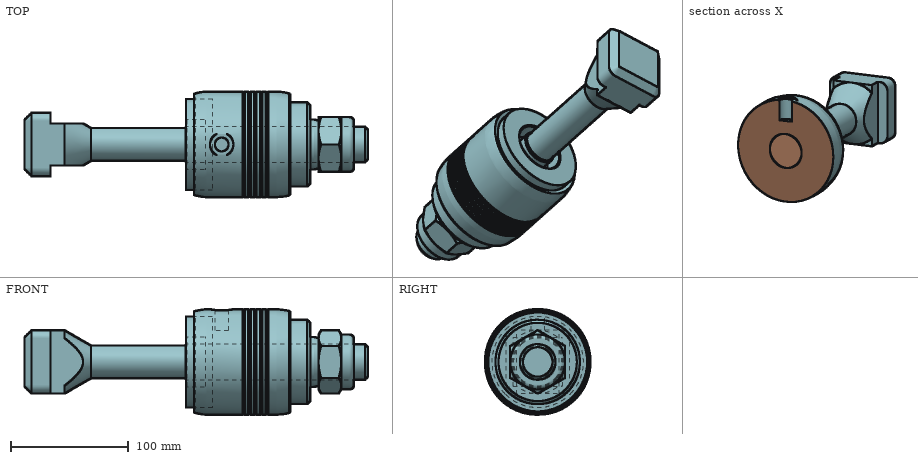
import cadquery as cq
import math

total_length = 292.0

head_size = 54.0
head_length = 22.2
head_edge_radius = 7.0
head_chamfer = 6.0
neck_width = 36.0
neck_end = 34.2
neck_taper_angle = 30.0
shank_radius = 14.0
thread_radius = 15.2
thread_start = 136.7
thread_end_chamfer = 2.5

piston_front = 137.2
piston_radius = 38.8
piston_length = 22.8
recess_radius = 21.3
recess_depth = 16.5
recess_chamfer = 1.0

housing_front = 144.0
housing_radius = 45.0
housing_back = 226.3
edge_radius = 43.5
front_edge_drop = 0.5
back_edge_drop = 1.5
edge_break_length = 1.5
front_crown_length = 9.5
back_crown_length = 10.5
bore_lead_in = 1.5
boss_radius = 36.0
boss_back = 243.0
boss_chamfer = 2.5

groove_count = 5
groove_pitch = 5.0
groove_half_width = 1.2
groove_depth = 1.0
first_groove = 186.3

port_position = 167.5
port_seat_radius = 10.0
port_seat_height = 44.0
port_radius = 5.8
port_depth = 17.5

washer_radius = 21.3
washer_back = 250.0
washer_chamfer_length = 3.5
washer_chamfer_drop = 1.0

nut_across_flats = 46.7
hex_sides = 6
hex_back = 269.2
nut_back = 280.0
nut_chamfer_angle = 30.0
collar_edge_radius = 3.8


def rod(start, end, radius):
    """Solid cylinder on the X axis."""
    return cq.Workplane("YZ", origin=(start, 0, 0)).circle(radius).extrude(end - start)


def block(start, end, width, height):
    """Rectangular block centred on the X axis."""
    return cq.Workplane("YZ", origin=(start, 0, 0)).rect(width, height).extrude(end - start)


def turned(outline):
    """Revolve a closed outline of (x, radius) lines and arcs about the X axis."""
    return outline.close().revolve(360, (0, 0, 0), (1, 0, 0))


def thread_clearance():
    """Through hole that fits the threaded part of the bolt."""
    return rod(0, total_length, thread_radius)


def crown_radius(length, drop):
    """Radius of an arc that leaves the cylinder tangentially and drops over a length."""
    return (length ** 2 + drop ** 2) / (2 * drop)


def make_bolt():
    head = (
        block(0, head_length, head_size, head_size)
        .edges("|X").fillet(head_edge_radius)
        .faces("<X").chamfer(head_chamfer)
    )
    taper_start_radius = head_size / 2
    taper_length = (taper_start_radius - shank_radius) / math.tan(math.radians(neck_taper_angle))
    neck = block(head_chamfer, neck_end, neck_width, head_size)
    taper = turned(
        cq.Workplane("XY")
        .moveTo(neck_end, 0)
        .lineTo(neck_end, taper_start_radius)
        .lineTo(neck_end + taper_length, shank_radius)
        .lineTo(neck_end + taper_length, 0)
    ).intersect(block(neck_end, neck_end + taper_length, neck_width, head_size))
    shank = rod(neck_end, thread_start, shank_radius)
    thread = (
        rod(thread_start, total_length, thread_radius)
        .faces("<X").chamfer(thread_radius - shank_radius)
        .faces(">X").chamfer(thread_end_chamfer)
    )
    return head.union(neck).union(taper).union(shank).union(thread)


def make_piston():
    piston_back = piston_front + piston_length
    recess_floor = piston_front + recess_depth
    return turned(
        cq.Workplane("XY")
        .moveTo(piston_front, piston_radius)
        .lineTo(piston_back, piston_radius)
        .lineTo(piston_back, thread_radius)
        .lineTo(recess_floor, thread_radius)
        .lineTo(recess_floor, recess_radius)
        .lineTo(piston_front + recess_chamfer, recess_radius)
        .lineTo(piston_front, recess_radius + recess_chamfer)
    )


def make_housing():
    crown_drop = housing_radius - edge_radius
    front_edge = housing_front + edge_break_length
    back_edge = housing_back - edge_break_length
    lip_radius = edge_radius - front_edge_drop
    bore_end = piston_front + piston_length
    housing = turned(
        cq.Workplane("XY")
        .moveTo(bore_end, 0)
        .lineTo(bore_end, piston_radius)
        .lineTo(housing_front + bore_lead_in, piston_radius)
        .lineTo(housing_front, lip_radius)
        .lineTo(front_edge, edge_radius)
        .radiusArc((front_edge + front_crown_length, housing_radius),
                   crown_radius(front_crown_length, crown_drop))
        .lineTo(back_edge - back_crown_length, housing_radius)
        .radiusArc((back_edge, edge_radius), crown_radius(back_crown_length, crown_drop))
        .lineTo(housing_back, edge_radius - back_edge_drop)
        .lineTo(housing_back, boss_radius)
        .lineTo(boss_back - boss_chamfer, boss_radius)
        .lineTo(boss_back, boss_radius - boss_chamfer)
        .lineTo(boss_back, 0)
    ).cut(thread_clearance())
    for index in range(groove_count):
        housing = housing.cut(make_groove(first_groove + index * groove_pitch))
    return housing.cut(make_port())


def make_groove(position):
    """Ring that cuts a V-shaped groove into the housing."""
    return turned(
        cq.Workplane("XY")
        .moveTo(position - groove_half_width, housing_radius)
        .lineTo(position, housing_radius - groove_depth)
        .lineTo(position + groove_half_width, housing_radius)
    )


def make_port():
    """Flat round seat with a blind hole below it."""
    seat_plane = cq.Workplane("XY", origin=(port_position, 0, port_seat_height))
    seat = seat_plane.circle(port_seat_radius).extrude(housing_radius - port_seat_height)
    hole = seat_plane.circle(port_radius).extrude(-port_depth)
    return seat.union(hole)


def make_washer():
    washer = rod(boss_back, washer_back, washer_radius)
    washer = washer.faces(">X").edges().chamfer(washer_chamfer_length, washer_chamfer_drop)
    return washer.cut(thread_clearance())


def make_nut():
    flat_radius = nut_across_flats / 2
    corner_radius = flat_radius / math.cos(math.pi / hex_sides)
    chamfer_length = (corner_radius - flat_radius) * math.tan(math.radians(nut_chamfer_angle))
    hexagon = (
        cq.Workplane("YZ", origin=(washer_back, 0, 0))
        .transformed(rotate=(0, 0, 90))
        .polygon(hex_sides, 2 * corner_radius)
        .extrude(hex_back - washer_back)
    )
    corner_break = turned(
        cq.Workplane("XY")
        .moveTo(washer_back, 0)
        .lineTo(washer_back, flat_radius)
        .lineTo(washer_back + chamfer_length, corner_radius)
        .lineTo(hex_back - chamfer_length, corner_radius)
        .lineTo(hex_back, flat_radius)
        .lineTo(hex_back, 0)
    )
    collar = rod(hex_back, nut_back, flat_radius).faces(">X").edges().fillet(collar_edge_radius)
    return hexagon.intersect(corner_break).union(collar).cut(thread_clearance())


bolt = make_bolt()
housing = make_housing()
piston = make_piston()
washer = make_washer()
nut = make_nut()

result = cq.Compound.makeCompound([
    bolt.val(),
    housing.val(),
    piston.val(),
    washer.val(),
    nut.val(),
])